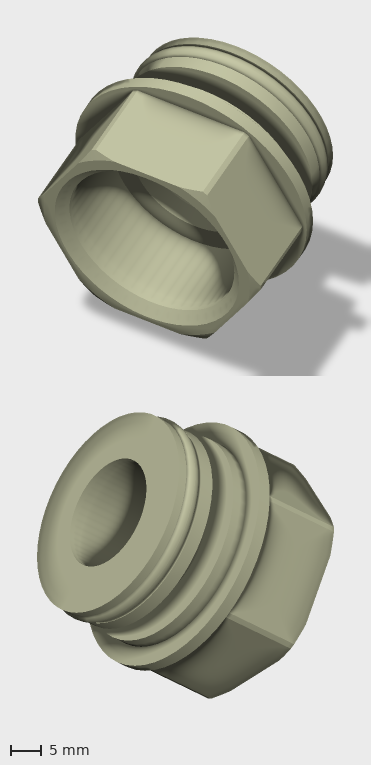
import cadquery as cq
import math

length = 32.0
hex_length = 15.6
flange_thickness = 2.23
shoulder_thickness = 2.8
neck_length = 4.2
inner_ring_thickness = 2.5
outer_ring_thickness = 1.6
flange_back = hex_length + flange_thickness
shoulder_back = flange_back + shoulder_thickness
neck_back = shoulder_back + neck_length
groove_front = neck_back + inner_ring_thickness
groove_back = length - outer_ring_thickness
groove_width = groove_back - groove_front

flange_diameter = 42.8
shoulder_diameter = 36.12
neck_diameter = 23.55
ring_diameter = 35.25
seal_diameter = 36.12

across_flats = 36.12
corner_diameter = 41.17
rim_diameter = 38.1
rim_chamfer_angle = 30
rim_chamfer_length = (corner_diameter - rim_diameter) / 2 * math.tan(math.radians(rim_chamfer_angle))

mouth_diameter = 34.05
socket_diameter = 30.47
socket_depth = 16.9
bore_entry_diameter = 23.03
bore_diameter = 19.0
mouth_chamfer = (mouth_diameter - socket_diameter) / 2
bore_chamfer = (bore_entry_diameter - bore_diameter) / 2


def disc(diameter, start, end):
    """Cylinder about the Y axis between two stations."""
    return cone(diameter, diameter, start, end)


def cone(start_diameter, end_diameter, start, end):
    """Solid of revolution about Y with straight sides between two stations."""
    profile = [(0, start), (start_diameter / 2, start), (end_diameter / 2, end), (0, end)]
    return cq.Workplane("XY").polyline(profile).close().revolve(360, (0, 0, 0), (0, 1, 0))


def hexagon():
    """Hexagon with flats facing up and down, trimmed by a coned cylinder."""
    across_corners = across_flats / math.cos(math.pi / 6)
    prism = cq.Workplane("XZ").polygon(6, across_corners).extrude(-hex_length)
    envelope = cone(rim_diameter, corner_diameter, 0, rim_chamfer_length)
    envelope = envelope.union(disc(corner_diameter, rim_chamfer_length, hex_length))
    return prism.intersect(envelope)


def seal():
    """O-ring that fills the width of the groove."""
    section_radius = groove_width / 2
    center_radius = seal_diameter / 2 - section_radius
    section = cq.Workplane("XY").center(center_radius, groove_front + section_radius).circle(section_radius)
    return section.revolve(360, (-center_radius, 0, 0), (-center_radius, 1, 0))


def stepped_body():
    """Flange, shoulder, neck and the two rings that hold the seal."""
    body = disc(flange_diameter, hex_length, flange_back)
    body = body.union(disc(shoulder_diameter, flange_back, shoulder_back))
    body = body.union(disc(neck_diameter, shoulder_back, neck_back))
    body = body.union(disc(ring_diameter, neck_back, groove_front))
    body = body.union(disc(seal_diameter - groove_width, groove_front, groove_back))
    return body.union(disc(ring_diameter, groove_back, length))


def passage():
    """Chamfered socket and the chamfered bore behind it."""
    cut = cone(mouth_diameter, socket_diameter, 0, mouth_chamfer)
    cut = cut.union(disc(socket_diameter, mouth_chamfer, socket_depth))
    cut = cut.union(cone(bore_entry_diameter, bore_diameter, socket_depth, socket_depth + bore_chamfer))
    return cut.union(disc(bore_diameter, socket_depth + bore_chamfer, length))


result = hexagon().union(stepped_body()).union(seal()).cut(passage())